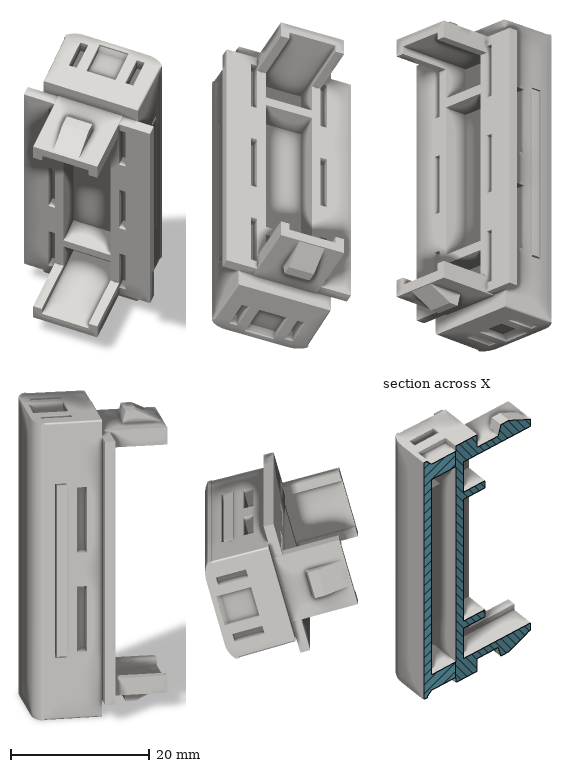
import cadquery as cq

length = 45.0
half_length = length / 2

cover_depth = 1.5
core_back = 6.0
body_front = 10.0
flange_front = 11.48
leg_tip = 20.0

cover_half_width = 7.5
cover_flat_half_width = 5.0
cover_corner_drop = 1.0
block_height = 4.0
notch_inner_x = 3.8
notch_height = 2.0
recess_half_width = 2.25
recess_height = 1.0
recess_back = 0.8
recess_lip = 0.3

core_half_width = 5.0
core_front_half_length = 20.1
web_front = 7.5
window_half_width = 3.65
main_window_half_height = 11.5
end_window_inner_z = 12.95
leg_plate = 1.5
leg_height = 2.6
catch_half_width = 2.0
catch_height = 1.9
catch_base_back = 13.9
catch_top_back = 14.4
catch_top_front = 15.95
catch_base_front = 19.75

tab_half_length = 12.95
tab_back = 3.35
tab_front = 4.75
tab_tip_x = 7.5
prong_thickness = 1.5

rail_back_half_width = 7.45
rail_front_half_width = 7.35
rail_end_fillet = 0.25
flange_half_width = 9.8
flange_half_length = 19.95
clip_slot_half_length = 13.25
clip_slot_back = 3.0
side_slot_length = 10.0
side_slot_centre_z = 7.5
side_slot_back = 6.3
side_slot_front = 7.8
front_slot_width = 1.0
front_slot_depth = flange_front - body_front
middle_slot_length = 9.0
end_slot_length = 8.0
end_slot_centre_z = 14.5


def box(x_min, x_max, back, front, z_min, z_max):
    """Box between two X values, two depths (back and front) and two Z values."""
    size = (x_max - x_min, front - back, z_max - z_min)
    return cq.Workplane("XY").box(*size, centered=False).translate((x_min, -front, z_min))


def centred_box(half_width, back, front, z_min, z_max):
    return box(-half_width, half_width, back, front, z_min, z_max)


def with_both_ends(upper):
    """The upper feature together with its mirror image at the lower end."""
    return upper.union(upper.mirror("XY"))


def make_cover_plate():
    """Back plate whose two long rear corners are rounded into the flat back."""
    side_run = cover_half_width - cover_flat_half_width
    radius = (side_run**2 + cover_corner_drop**2) / (2 * cover_corner_drop)
    arc_x = side_run / 2
    arc_drop = radius - (radius**2 - arc_x**2) ** 0.5
    return (
        cq.Workplane("XY", origin=(0, 0, -half_length))
        .moveTo(-cover_half_width, -cover_depth)
        .lineTo(-cover_half_width, -cover_corner_drop)
        .threePointArc((-cover_flat_half_width - arc_x, -arc_drop), (-cover_flat_half_width, 0))
        .lineTo(cover_flat_half_width, 0)
        .threePointArc((cover_flat_half_width + arc_x, -arc_drop), (cover_half_width, -cover_corner_drop))
        .lineTo(cover_half_width, -cover_depth)
        .close()
        .extrude(length)
    )


def make_end_recess():
    """Shallow recess in the upper end of the cover, with a ramp at its rear."""
    floor_z = half_length - recess_height
    return (
        cq.Workplane("YZ", origin=(-recess_half_width, 0, 0))
        .polyline([
            (-recess_back, half_length),
            (-recess_back, half_length - recess_lip),
            (-cover_depth, floor_z),
            (-core_back, floor_z),
            (-core_back, half_length),
        ])
        .close()
        .extrude(2 * recess_half_width)
    )


def make_cover():
    block = centred_box(
        core_half_width, cover_depth, core_back, half_length - block_height, half_length
    )
    for side in (-1, 1):
        notch_x = sorted((side * notch_inner_x, side * core_half_width))
        block = block.cut(box(*notch_x, cover_depth, core_back, half_length - notch_height, half_length))
    cover = make_cover_plate().union(with_both_ends(block))
    return cover.cut(with_both_ends(make_end_recess()))


def make_catch():
    """Snap catch on the outer face of the upper leg."""
    base_z = core_front_half_length
    top_z = base_z + catch_height
    return (
        cq.Workplane("YZ", origin=(-catch_half_width, 0, 0))
        .polyline([
            (-catch_base_back, base_z),
            (-catch_top_back, top_z),
            (-catch_top_front, top_z),
            (-catch_base_front, base_z),
        ])
        .close()
        .extrude(2 * catch_half_width)
    )


def make_clip(side):
    """Prong standing on the back of the core, with a tab reaching outwards."""
    prong_x = sorted((side * (core_half_width - prong_thickness), side * core_half_width))
    tab_x = sorted((side * core_half_width, side * tab_tip_x))
    prong = box(*prong_x, tab_back, core_back, -tab_half_length, tab_half_length)
    tab = box(*tab_x, tab_back, tab_front, -tab_half_length, tab_half_length)
    return prong.union(tab)


def make_core():
    core = centred_box(core_half_width, core_back, body_front, -half_length, half_length)
    core = core.union(centred_box(
        core_half_width, body_front, flange_front, -core_front_half_length, core_front_half_length
    ))
    leg = centred_box(
        core_half_width, flange_front, leg_tip, core_front_half_length - leg_height, core_front_half_length
    )
    core = core.union(with_both_ends(leg.union(make_catch())))

    core = core.cut(centred_box(
        window_half_width, web_front, flange_front, -main_window_half_height, main_window_half_height
    ))
    channel = centred_box(
        window_half_width, web_front, leg_tip, end_window_inner_z, core_front_half_length - leg_plate
    )
    core = core.cut(with_both_ends(channel))

    for side in (-1, 1):
        core = core.union(make_clip(side))
    return core


def make_rail_wall():
    """Wall of the +X rail, tapering slightly towards its front."""
    return (
        cq.Workplane("XY", origin=(0, 0, -half_length))
        .polyline([
            (core_half_width, -cover_depth),
            (rail_back_half_width, -cover_depth),
            (rail_front_half_width, -body_front),
            (core_half_width, -body_front),
        ])
        .close()
        .extrude(length)
        .faces("<Z or >Z")
        .edges(">X")
        .fillet(rail_end_fillet)
    )


def make_rail(side):
    """Side rail with its flange; built on the +X side and mirrored for the other one."""
    rail = make_rail_wall().union(box(
        core_half_width, flange_half_width, body_front, flange_front,
        -flange_half_length, flange_half_length,
    ))

    rail = rail.cut(box(
        core_half_width, cover_half_width, clip_slot_back, tab_front,
        -clip_slot_half_length, clip_slot_half_length,
    ))

    for centre_z in (-side_slot_centre_z, side_slot_centre_z):
        rail = rail.cut(box(
            core_half_width, cover_half_width, side_slot_back, side_slot_front,
            centre_z - side_slot_length / 2, centre_z + side_slot_length / 2,
        ))

    front_slots = [
        (-end_slot_centre_z, end_slot_length),
        (0, middle_slot_length),
        (end_slot_centre_z, end_slot_length),
    ]
    for centre_z, slot_length in front_slots:
        rail = rail.cut(box(
            core_half_width, core_half_width + front_slot_width,
            flange_front - front_slot_depth, flange_front,
            centre_z - slot_length / 2, centre_z + slot_length / 2,
        ))

    return rail if side > 0 else rail.mirror("YZ")


cover = make_cover()
core = make_core()
rails = [make_rail(side) for side in (-1, 1)]

result = cq.Compound.makeCompound([cover.val(), core.val(), *[rail.val() for rail in rails]])